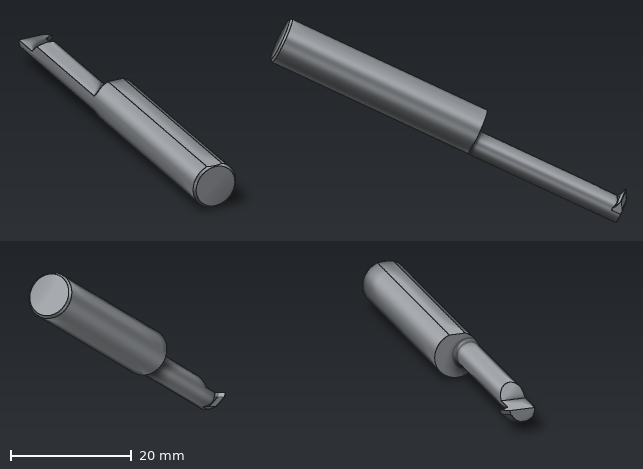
import cadquery as cq

total_length = 63.5
shank_start = 27.3
shank_radius = 3.97
flat_height = 3.715
end_chamfer = 0.4

neck_radius = 2.2
neck_center_y = -2.0
neck_fillet = 0.6
neck_side_y = neck_center_y + neck_radius

rake_length = 4.75

tooth_tip_x = 0.9
tooth_tip_y = 1.85
tooth_tip_width = 0.1
tooth_length = 1.7
tooth_shoulder_y = 0.45
tooth_throat_x = 1.35
tooth_throat_y = 0.75
tooth_root_y = -0.1
land_depth = 0.75
land_setback = 0.2
heel_setback = 1.8


def full_round(radius, start, center_y=0.0):
    """Round bar along X from start to the shank end."""
    return (
        cq.Workplane("YZ", origin=(start, center_y, 0))
        .circle(radius)
        .extrude(total_length - start)
    )


def make_shank():
    """Round shank with a chamfered rear end and a clamping flat on top."""
    shank = full_round(shank_radius, shank_start).faces(">X").chamfer(end_chamfer)
    below_flat = cq.Workplane("XY").box(
        total_length, 2 * shank_radius, shank_radius + flat_height, centered=(False, True, False)
    ).translate((shank_start, 0, -shank_radius))
    return shank.intersect(below_flat)


def make_neck():
    """Eccentric neck, flared into the shank and trimmed to the shank cylinder."""
    fillet_start = shank_start - neck_fillet
    flare_radius = neck_radius + neck_fillet
    diagonal = neck_fillet * 0.5 ** 0.5
    profile = (
        cq.Workplane("XY", origin=(0, neck_center_y, 0))
        .lineTo(0, neck_radius)
        .lineTo(fillet_start, neck_radius)
        .threePointArc(
            (fillet_start + diagonal, flare_radius - diagonal),
            (shank_start, flare_radius),
        )
        .lineTo(shank_start, 0)
        .close()
    )
    neck = profile.revolve(360, (0, 0, 0), (1, 0, 0))
    return neck.intersect(full_round(shank_radius, 0))


def make_rake_cut():
    """Material above the rake face, ending in a 45 degree ramp."""
    return (
        cq.Workplane("XZ")
        .lineTo(rake_length, 0)
        .lineTo(rake_length + shank_radius, shank_radius)
        .lineTo(0, shank_radius)
        .close()
        .extrude(shank_radius, both=True)
    )


def tooth_layer(top_z, bottom_z, top_setback, bottom_setback):
    """Tooth slice whose outline moves back in Y between two heights."""
    half_tip = tooth_tip_width / 2
    outline = [
        (0, tooth_root_y),
        (0, tooth_shoulder_y),
        (tooth_tip_x - half_tip, tooth_tip_y),
        (tooth_tip_x + half_tip, tooth_tip_y),
        (tooth_throat_x, tooth_throat_y),
        (tooth_length, neck_side_y),
        (tooth_length, tooth_root_y),
    ]
    top = [(x, y - top_setback) for x, y in outline]
    bottom = [(x, y - bottom_setback) for x, y in outline]
    return (
        cq.Workplane("XY", origin=(0, 0, top_z))
        .polyline(top)
        .close()
        .workplane(offset=bottom_z - top_z)
        .polyline(bottom)
        .close()
        .loft(ruled=True)
    )


land = tooth_layer(0, -land_depth, 0, land_setback)
heel = tooth_layer(-land_depth, -neck_radius, land_setback, heel_setback)

result = make_neck().cut(make_rake_cut()).union(make_shank()).union(land).union(heel)